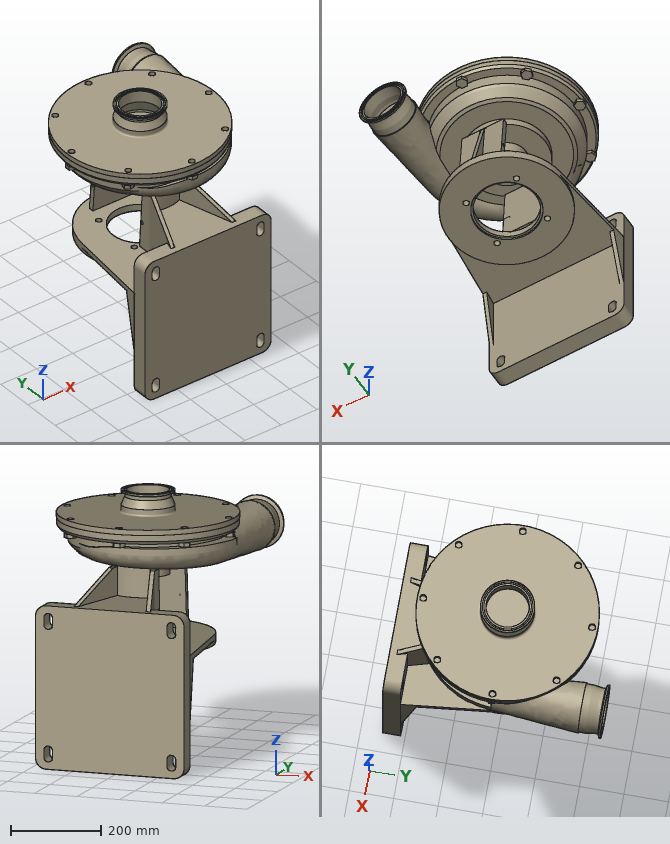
import cadquery as cq
import math


INLET_TOP_Z = 110.0
LID_TOP_Z = 60.0
LID_SEAM_Z = 48.0
LID_BOTTOM_Z = 34.0
CLAMP_RING_BOTTOM_Z = 27.0
NUT_BOTTOM_Z = 18.0
CASING_WALL_BOTTOM_Z = -3.0
CASING_SHOULDER_Z = -10.0
CASING_CONE_END_Z = -27.0
CASING_FLOOR_Z = -30.0
LANTERN_TOP_Z = -50.0
HUB_BOTTOM_Z = -79.0

LID_R = 203.45
LID_LOWER_R = 203.0
CLAMP_RING_BOTTOM_R = 198.0
CASING_R = 178.0
CASING_SHOULDER_R = 174.0
CASING_CONE_END_R = 157.0
CASING_FLOOR_R = 148.0
MOUNT_DISC_R = 100.0
HUB_R = 49.0

LID_BOLT_COUNT = 8
LID_BOLT_CIRCLE_R = 190.0
LID_HOLE_D = 15.0
LID_HOLE_DEPTH = 10.0
NUT_ACROSS_FLATS = 24.0

FERRULE_R = 60.0
FERRULE_LIP = 4.0
FERRULE_BACK = 7.0
GASKET_GROOVE_OUTER_R = 56.0
GASKET_GROOVE_INNER_R = 52.5
GASKET_GROOVE_DEPTH = 1.5
NECK_R = 51.5
NECK_LENGTH = 15.0
CONE_END = 34.0
NOZZLE_WALL = 3.0
BORE_R = 48.0
BORE_STRAIGHT = 29.0
BORE_POCKET = 6.0
INLET_BODY_R = 60.0
INLET_FILLET = 4.5
INLET_BORE_DEPTH = 62.0
OUTLET_BODY_R = 54.5
OUTLET_LENGTH = 51.0

OUTLET_X = 170.0
OUTLET_END_Y = 250.0
SPIRAL_STEPS = 9
SPIRAL_START_ANGLE = -135.0
SPIRAL_START_R = 26.0
SPIRAL_END_R = 42.0
SPIRAL_START_CENTRE = 148.0
SPIRAL_END_CENTRE = 167.5
SPIRAL_GROWTH = 0.7
SPIRAL_TOP_Z = 16.0
SPIRAL_START_TOP_Z = 1.0
SPIRAL_TOP_RISE = 1 / 3
DISCHARGE_R = 57.0

PLATE_FACE_Y = -250.0
PLATE_THICKNESS = 40.0
PLATE_WIDTH = 350.0
PLATE_TOP_Z = -115.0
PLATE_BOTTOM_Z = -485.0
PLATE_CORNER_R = 25.0
SLOT_SPACING_X = 290.0
SLOT_EDGE_Z = 35.0
SLOT_LENGTH = 36.0
SLOT_WIDTH = 20.0

SHELF_TOP_Z = -213.0
SHELF_THICKNESS = 13.0
SHELF_R = 150.0
SHELF_ROOT_HALF_WIDTH = 174.0
MOTOR_PAD_THICKNESS = 22.0
MOTOR_BORE_R = 75.0
MOTOR_REGISTER_R = 80.0
MOTOR_REGISTER_DEPTH = 5.0
MOTOR_HOLE_COUNT = 4
MOTOR_HOLE_CIRCLE_R = 92.5
MOTOR_HOLE_D = 14.0

LEG_HALF_WIDTH = 54.0
REAR_LEG_TOP_Y = (89.0, 102.0)
REAR_LEG_FOOT_Y = (102.0, 115.0)
FRONT_LEG_INNER_TOP_Y = -80.0
FRONT_LEG_INNER_FOOT_Y = -69.0
FRONT_LEG_CORNER_Y = -107.0
LEG_HOLE_D = 7.0
LEG_HOLE_DEPTH = 15.0
LEG_HOLE_Z = -145.0
REAR_LEG_HOLE_Y = 102.0
FRONT_LEG_HOLE_Y = -79.0
REAR_RIB_FOOT_Y = 144.0
STIFFENER_THICKNESS = 10.0
FRONT_RIB_TIP_X = 90.0
FRONT_RIB_TIP_Y = -233.0
GUSSET_TOP_Y = -175.0
GUSSET_BOTTOM_Z = -378.0

PLATE_BACK_Y = PLATE_FACE_Y + PLATE_THICKNESS


def cylinder(radius, top_z, bottom_z):
    """Cylinder on the impeller axis."""
    return cq.Workplane("XY").workplane(offset=bottom_z).circle(radius).extrude(top_z - bottom_z)


def slab(yz_points, x_from, x_to):
    """Profile in the YZ plane extruded from x_from to x_to."""
    return cq.Workplane("YZ").workplane(offset=x_from).polyline(yz_points).close().extrude(x_to - x_from)


def revolve_about_z(profile):
    return profile.close().revolve(360, (0, 0, 0), (0, 1, 0))


def ferrule_nozzle(body_r, length):
    """Nozzle on the Z axis with its clamp face at Z = 0 and its body running to Z = -length."""
    profile = (
        cq.Workplane("XZ")
        .lineTo(FERRULE_R, 0)
        .lineTo(FERRULE_R, -FERRULE_LIP)
        .lineTo(NECK_R, -FERRULE_BACK)
        .lineTo(NECK_R, -NECK_LENGTH)
        .lineTo(body_r, -CONE_END)
        .lineTo(body_r, -length)
        .lineTo(0, -length)
    )
    groove = (
        cq.Workplane("XY")
        .circle(GASKET_GROOVE_OUTER_R)
        .circle(GASKET_GROOVE_INNER_R)
        .extrude(-GASKET_GROOVE_DEPTH)
    )
    return revolve_about_z(profile).cut(groove)


def ferrule_bore(body_r, depth):
    """Straight bore that flares into a short pocket with a blind floor at Z = -depth."""
    inner_r = body_r - NOZZLE_WALL
    profile = (
        cq.Workplane("XZ")
        .lineTo(BORE_R, 0)
        .lineTo(BORE_R, -BORE_STRAIGHT)
        .lineTo(inner_r, BORE_POCKET - depth)
        .lineTo(inner_r, -depth)
        .lineTo(0, -depth)
    )
    return revolve_about_z(profile)


def place_inlet(shape):
    return shape.translate((0, 0, INLET_TOP_Z))


def place_outlet(shape):
    """Turn a nozzle from the Z axis to the outlet axis, with the clamp face toward +Y."""
    return shape.rotate((0, 0, 0), (1, 0, 0), -90).translate((OUTLET_X, OUTLET_END_Y, 0))


def inlet():
    height = INLET_TOP_Z - LID_TOP_Z
    nozzle = place_inlet(ferrule_nozzle(INLET_BODY_R, height))
    foot = (
        cq.Workplane("XZ")
        .moveTo(0, LID_TOP_Z)
        .lineTo(INLET_BODY_R + INLET_FILLET, LID_TOP_Z)
        .radiusArc((INLET_BODY_R, LID_TOP_Z + INLET_FILLET), INLET_FILLET)
        .lineTo(0, LID_TOP_Z + INLET_FILLET)
    )
    return nozzle.union(revolve_about_z(foot))


def pump_body():
    """Lid, clamp ring, casing and mounting disc as one revolved profile, plus the hub."""
    profile = (
        cq.Workplane("XZ")
        .moveTo(0, LID_TOP_Z)
        .lineTo(LID_R, LID_TOP_Z)
        .lineTo(LID_R, LID_SEAM_Z)
        .lineTo(LID_LOWER_R, LID_SEAM_Z)
        .lineTo(LID_LOWER_R, LID_BOTTOM_Z)
        .lineTo(CLAMP_RING_BOTTOM_R, CLAMP_RING_BOTTOM_Z)
        .lineTo(CASING_R, CLAMP_RING_BOTTOM_Z)
        .lineTo(CASING_R, CASING_WALL_BOTTOM_Z)
        .lineTo(CASING_SHOULDER_R, CASING_SHOULDER_Z)
        .lineTo(CASING_CONE_END_R, CASING_CONE_END_Z)
        .lineTo(CASING_FLOOR_R, CASING_FLOOR_Z)
        .lineTo(MOUNT_DISC_R, CASING_FLOOR_Z)
        .lineTo(MOUNT_DISC_R, LANTERN_TOP_Z)
        .lineTo(0, LANTERN_TOP_Z)
    )
    return revolve_about_z(profile).union(cylinder(HUB_R, LANTERN_TOP_Z, HUB_BOTTOM_Z))


def circle_wire(radius, centre, normal):
    return cq.Wire.makeCircle(radius, cq.Vector(*centre), cq.Vector(*normal))


def spiral_section(radius, reach, top_z, angle):
    """Half-round section with upright sides and a flat top, in the plane at the given angle."""
    radial = (math.cos(math.radians(angle)), math.sin(math.radians(angle)), 0)
    tangent = (radial[1], -radial[0], 0)
    centre = tuple(reach * part for part in radial)
    section = (
        cq.Workplane(cq.Plane(origin=centre, xDir=radial, normal=tangent))
        .moveTo(-radius, top_z)
        .lineTo(-radius, 0)
        .threePointArc((0, -radius), (radius, 0))
        .lineTo(radius, top_z)
        .close()
    )
    return section.val()


def spiral():
    """Tube round the casing, growing on its way to the outlet side at +X."""
    sections = []
    for step in range(SPIRAL_STEPS + 1):
        progress = step / SPIRAL_STEPS
        growth = progress ** SPIRAL_GROWTH
        radius = SPIRAL_START_R + (SPIRAL_END_R - SPIRAL_START_R) * growth
        reach = SPIRAL_START_CENTRE + (SPIRAL_END_CENTRE - SPIRAL_START_CENTRE) * growth
        rise = min(1, progress / SPIRAL_TOP_RISE)
        top_z = SPIRAL_START_TOP_Z + (SPIRAL_TOP_Z - SPIRAL_START_TOP_Z) * rise
        angle = SPIRAL_START_ANGLE * (1 - progress)
        sections.append(spiral_section(radius, reach, top_z, angle))
    return cq.Workplane(obj=cq.Solid.makeLoft(sections))


def discharge_pipe():
    """Taper from the end of the spiral to the outlet nozzle."""
    start = circle_wire(SPIRAL_END_R, (SPIRAL_END_CENTRE, 0, 0), (0, 1, 0))
    end = circle_wire(DISCHARGE_R, (OUTLET_X, OUTLET_END_Y - OUTLET_LENGTH, 0), (0, 1, 0))
    return cq.Workplane(obj=cq.Solid.makeLoft([start, end]))


def lid_nuts():
    height = CLAMP_RING_BOTTOM_Z - NUT_BOTTOM_Z
    across_corners = NUT_ACROSS_FLATS / math.cos(math.pi / 6)
    nut = (
        cq.Workplane("XY")
        .polygon(6, across_corners)
        .extrude(height)
        .rotate((0, 0, 0), (0, 0, 1), 90)
        .translate((LID_BOLT_CIRCLE_R, 0, NUT_BOTTOM_Z))
    )
    nuts = cq.Workplane("XY")
    for index in range(LID_BOLT_COUNT):
        nuts = nuts.add(nut.rotate((0, 0, 0), (0, 0, 1), index * 360 / LID_BOLT_COUNT))
    return nuts.combine()


def lid_holes():
    return (
        cq.Workplane("XY")
        .workplane(offset=LID_TOP_Z)
        .polarArray(LID_BOLT_CIRCLE_R, 0, 360, LID_BOLT_COUNT)
        .circle(LID_HOLE_D / 2)
        .extrude(-LID_HOLE_DEPTH)
    )


def mounting_plate():
    height = PLATE_TOP_Z - PLATE_BOTTOM_Z
    mid_z = (PLATE_TOP_Z + PLATE_BOTTOM_Z) / 2
    plate = cq.Workplane("XZ").rect(PLATE_WIDTH, height).extrude(-PLATE_THICKNESS)
    plate = plate.edges("|Y").fillet(PLATE_CORNER_R)
    slots = (
        cq.Workplane("XZ")
        .rarray(SLOT_SPACING_X, height - 2 * SLOT_EDGE_Z, 2, 2)
        .slot2D(SLOT_LENGTH, SLOT_WIDTH, 90)
        .extrude(-PLATE_THICKNESS)
    )
    return plate.cut(slots).translate((0, PLATE_FACE_Y, mid_z))


def shelf_tangent_point():
    """Point on the +X side where the straight side of the shelf touches the motor pad."""
    root_distance = math.hypot(SHELF_ROOT_HALF_WIDTH, PLATE_BACK_Y)
    angle = math.atan2(PLATE_BACK_Y, SHELF_ROOT_HALF_WIDTH) + math.acos(SHELF_R / root_distance)
    return SHELF_R * math.cos(angle), SHELF_R * math.sin(angle)


def motor_shelf():
    """Thin plate whose sides run tangent to a thicker round motor pad."""
    tangent_x, tangent_y = shelf_tangent_point()
    shelf = (
        cq.Workplane("XY")
        .workplane(offset=SHELF_TOP_Z)
        .moveTo(SHELF_ROOT_HALF_WIDTH, PLATE_BACK_Y)
        .lineTo(tangent_x, tangent_y)
        .lineTo(-tangent_x, tangent_y)
        .lineTo(-SHELF_ROOT_HALF_WIDTH, PLATE_BACK_Y)
        .close()
        .extrude(-SHELF_THICKNESS)
    )
    pad_bottom_z = SHELF_TOP_Z - MOTOR_PAD_THICKNESS
    shelf = shelf.union(cylinder(SHELF_R, SHELF_TOP_Z, pad_bottom_z))
    holes = (
        cq.Workplane("XY")
        .workplane(offset=SHELF_TOP_Z)
        .polarArray(MOTOR_HOLE_CIRCLE_R, 45, 360, MOTOR_HOLE_COUNT)
        .circle(MOTOR_HOLE_D / 2)
        .extrude(-MOTOR_PAD_THICKNESS)
    )
    bore = cylinder(MOTOR_BORE_R, SHELF_TOP_Z, pad_bottom_z)
    register = cylinder(MOTOR_REGISTER_R, pad_bottom_z + MOTOR_REGISTER_DEPTH, pad_bottom_z)
    return shelf.cut(bore).cut(register).cut(holes)


def leg_holes(y):
    """Blind holes in both side faces of a leg."""
    hole = (
        cq.Workplane("YZ")
        .workplane(offset=-LEG_HALF_WIDTH)
        .center(y, LEG_HOLE_Z)
        .circle(LEG_HOLE_D / 2)
        .extrude(LEG_HOLE_DEPTH)
    )
    return hole.union(hole.mirror("YZ"))


def rear_leg():
    """Leaning flat leg with one stiffener in the middle of its outer face."""
    inner_top, outer_top = REAR_LEG_TOP_Y
    inner_foot, outer_foot = REAR_LEG_FOOT_Y
    leg = slab(
        [
            (inner_top, LANTERN_TOP_Z),
            (outer_top, LANTERN_TOP_Z),
            (outer_foot, SHELF_TOP_Z),
            (inner_foot, SHELF_TOP_Z),
        ],
        -LEG_HALF_WIDTH,
        LEG_HALF_WIDTH,
    )
    rib = slab(
        [(outer_top, LANTERN_TOP_Z), (REAR_RIB_FOOT_Y, SHELF_TOP_Z), (inner_foot, SHELF_TOP_Z)],
        -STIFFENER_THICKNESS / 2,
        STIFFENER_THICKNESS / 2,
    )
    return leg.union(rib).cut(leg_holes(REAR_LEG_HOLE_Y))


def front_leg():
    """Leg with a leaning inner face and an outer face flush with the mounting disc."""
    leg = slab(
        [
            (FRONT_LEG_INNER_TOP_Y, LANTERN_TOP_Z),
            (FRONT_LEG_INNER_FOOT_Y, SHELF_TOP_Z),
            (-MOUNT_DISC_R, SHELF_TOP_Z),
            (-MOUNT_DISC_R, LANTERN_TOP_Z),
        ],
        -LEG_HALF_WIDTH,
        LEG_HALF_WIDTH,
    )
    leg = leg.intersect(cylinder(MOUNT_DISC_R, LANTERN_TOP_Z, SHELF_TOP_Z))
    return leg.union(front_ribs()).cut(leg_holes(FRONT_LEG_HOLE_Y))


def splayed_plate(plan_points, side_points):
    """Mirrored pair of solids, each with the given XY plan and YZ side outline."""
    span = abs(PLATE_BOTTOM_Z)
    plan = cq.Workplane("XY").polyline(plan_points).close().extrude(span, both=True)
    plate = plan.intersect(slab(side_points, 0, PLATE_WIDTH / 2))
    return plate.union(plate.mirror("YZ"))


def front_ribs():
    """Two splayed ribs from the front leg to the mounting plate, with a block filling between them."""
    run_x = FRONT_RIB_TIP_X - LEG_HALF_WIDTH
    run_y = FRONT_RIB_TIP_Y - FRONT_LEG_CORNER_Y
    splay = run_x / run_y
    thickness_x = STIFFENER_THICKNESS * math.hypot(1, splay)
    root_y = FRONT_LEG_INNER_TOP_Y
    root_x = LEG_HALF_WIDTH + splay * (root_y - FRONT_LEG_CORNER_Y)
    ribs = splayed_plate(
        [
            (LEG_HALF_WIDTH, root_y),
            (LEG_HALF_WIDTH, FRONT_LEG_CORNER_Y),
            (FRONT_RIB_TIP_X, FRONT_RIB_TIP_Y),
            (FRONT_RIB_TIP_X - thickness_x, FRONT_RIB_TIP_Y),
            (root_x - thickness_x, root_y),
        ],
        [
            (root_y, LANTERN_TOP_Z),
            (FRONT_LEG_CORNER_Y, LANTERN_TOP_Z),
            (FRONT_RIB_TIP_Y, PLATE_TOP_Z),
            (FRONT_RIB_TIP_Y, SHELF_TOP_Z),
            (root_y, SHELF_TOP_Z),
        ],
    )
    plate_x = LEG_HALF_WIDTH + splay * (PLATE_BACK_Y - FRONT_LEG_CORNER_Y)
    block = (
        cq.Workplane("XY")
        .workplane(offset=SHELF_TOP_Z)
        .polyline([
            (root_x, root_y),
            (plate_x, PLATE_BACK_Y),
            (-plate_x, PLATE_BACK_Y),
            (-root_x, root_y),
        ])
        .close()
        .extrude(PLATE_TOP_Z - SHELF_TOP_Z)
    )
    block = block.cut(cylinder(MOUNT_DISC_R, PLATE_TOP_Z, SHELF_TOP_Z))
    return ribs.union(block)


def shelf_gussets():
    """Two triangular gussets under the shelf, flush with its tapering sides."""
    tangent_x, tangent_y = shelf_tangent_point()
    taper = (SHELF_ROOT_HALF_WIDTH - tangent_x) / (PLATE_BACK_Y - tangent_y)
    tip_x = SHELF_ROOT_HALF_WIDTH + taper * (GUSSET_TOP_Y - PLATE_BACK_Y)
    thickness_x = STIFFENER_THICKNESS * math.hypot(1, taper)
    top_z = SHELF_TOP_Z - SHELF_THICKNESS
    return splayed_plate(
        [
            (SHELF_ROOT_HALF_WIDTH, PLATE_BACK_Y),
            (tip_x, GUSSET_TOP_Y),
            (tip_x - thickness_x, GUSSET_TOP_Y),
            (SHELF_ROOT_HALF_WIDTH - thickness_x, PLATE_BACK_Y),
        ],
        [(PLATE_BACK_Y, top_z), (GUSSET_TOP_Y, top_z), (PLATE_BACK_Y, GUSSET_BOTTOM_Z)],
    )


pump = (
    pump_body()
    .union(inlet())
    .union(spiral())
    .union(discharge_pipe())
    .union(place_outlet(ferrule_nozzle(OUTLET_BODY_R, OUTLET_LENGTH)))
    .union(lid_nuts())
    .cut(lid_holes())
    .cut(place_inlet(ferrule_bore(INLET_BODY_R, INLET_BORE_DEPTH)))
    .cut(place_outlet(ferrule_bore(OUTLET_BODY_R, OUTLET_LENGTH)))
)

bracket = (
    mounting_plate()
    .union(motor_shelf())
    .union(rear_leg())
    .union(front_leg())
    .union(shelf_gussets())
)

result = pump.union(bracket)